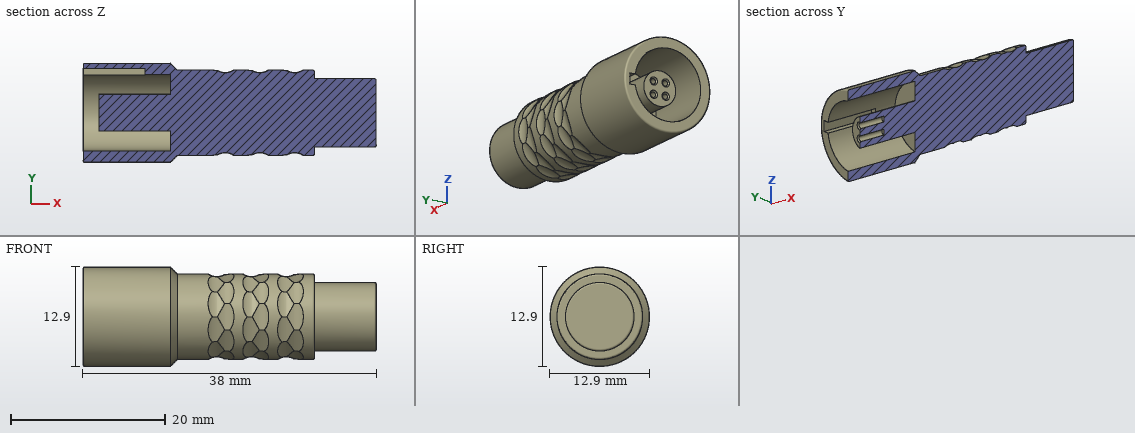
import cadquery as cq

total_length = 38.0
head_radius = 6.45
sleeve_radius = 5.55
tail_radius = 4.45
head_length = 11.3
sleeve_end = 30.0
shoulder_end = head_length + head_radius - sleeve_radius
edge_radius = 0.25

bore_radius = 4.95
bore_depth = head_length
keyway_width = 1.5
keyway_length = 8.0
keyway_reach = 5.7

insert_radius = 2.4
insert_recess = 2.05
contact_pitch = 1.8
contact_hole_diameter = 0.75
contact_sink_diameter = 1.1
contact_sink_angle = 90
contact_hole_depth = 4.0

band_count = 3
band_pitch = 4.5
dimples_per_ring = 10
dimple_step = 360 / dimples_per_ring
first_ring_x = 17.33
ring_spacing = 1.08
scoop_radius = 2.0
scoop_floor = 5.2
scoop_length = 6.0


def make_body():
    """Revolved outer shape with its exposed rims rounded."""
    profile = (
        cq.Workplane("XY")
        .moveTo(0, 0)
        .lineTo(0, -head_radius + edge_radius)
        .radiusArc((edge_radius, -head_radius), -edge_radius)
        .lineTo(head_length, -head_radius)
        .lineTo(shoulder_end, -sleeve_radius)
        .lineTo(sleeve_end - edge_radius, -sleeve_radius)
        .radiusArc((sleeve_end, -sleeve_radius + edge_radius), -edge_radius)
        .lineTo(sleeve_end, -tail_radius)
        .lineTo(total_length - edge_radius, -tail_radius)
        .radiusArc((total_length, -tail_radius + edge_radius), -edge_radius)
        .lineTo(total_length, 0)
        .close()
    )
    return profile.revolve(360, (0, 0, 0), (1, 0, 0))


def make_socket():
    """Annular space around the insert, the space ahead of it, and the keyway."""
    bore = cq.Workplane("YZ").circle(bore_radius).extrude(bore_depth)
    insert = (
        cq.Workplane("YZ", origin=(insert_recess, 0, 0))
        .circle(insert_radius)
        .extrude(bore_depth - insert_recess)
    )
    keyway = cq.Workplane("XY").box(
        keyway_length, keyway_reach, keyway_width, centered=(False, False, True)
    )
    return bore.union(keyway).cut(insert)


def drill_contacts(part):
    """Square pattern of countersunk contact holes in the insert face."""
    return (
        part.copyWorkplane(cq.Workplane("ZY", origin=(insert_recess, 0, 0)))
        .rarray(contact_pitch, contact_pitch, 2, 2)
        .cskHole(contact_hole_diameter, contact_sink_diameter, contact_sink_angle, contact_hole_depth)
    )


def make_scoop_ring(ring_x, start_angle):
    """Ring of tangential cylinders that scoop dimples out of the sleeve."""
    scoop = (
        cq.Workplane("XZ", origin=(ring_x, scoop_length / 2, scoop_floor + scoop_radius))
        .circle(scoop_radius)
        .extrude(scoop_length)
    )
    return [
        scoop.rotate((0, 0, 0), (1, 0, 0), start_angle + i * dimple_step)
        for i in range(dimples_per_ring)
    ]


def cut_grip(part):
    """Cut every band; the second ring of a band is turned by half a step."""
    scoops = []
    for band in range(band_count):
        band_x = first_ring_x + band * band_pitch
        scoops += make_scoop_ring(band_x, 0)
        scoops += make_scoop_ring(band_x + ring_spacing, dimple_step / 2)
    for scoop in scoops:
        part = part.cut(scoop)
    return part


result = make_body().cut(make_socket())
result = drill_contacts(result)
result = cut_grip(result).solids()